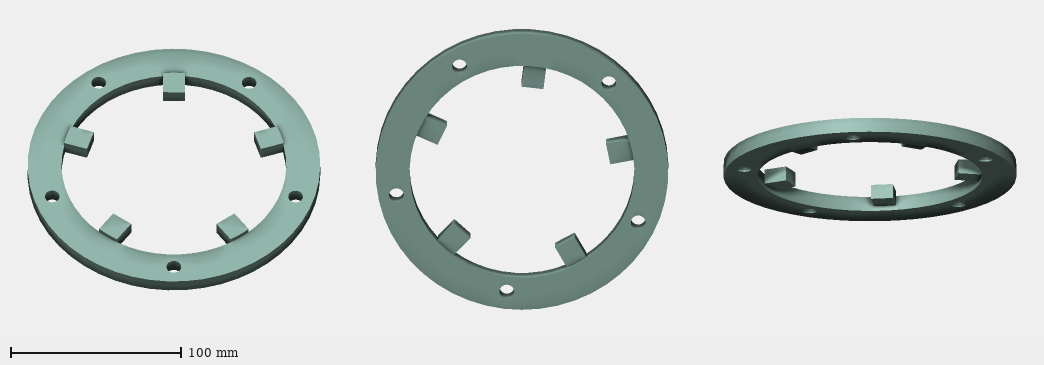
import cadquery as cq

outer_diameter = 172.0
bore_radius = 66.0
ring_thickness = 8.6

hole_diameter = 8.6
hole_circle_radius = 75.2

repeat_count = 5
tab_width = 13.0
tab_tip_radius = 51.6
tab_height = 8.6
tab_bottom = 3.0

angle_step = 360 / repeat_count


def make_ring():
    ring = cq.Workplane("XY").circle(outer_diameter / 2).circle(bore_radius).extrude(ring_thickness)
    holes = (
        cq.Workplane("XY")
        .polarArray(hole_circle_radius, 90, 360, repeat_count)
        .circle(hole_diameter / 2)
        .extrude(ring_thickness)
    )
    return ring.cut(holes)


def make_tab(angle):
    """Block with a flat tip and a root rounded to the bore, turned about Z from the -Y direction."""
    block = (
        cq.Workplane("XY", origin=(0, -(tab_tip_radius + bore_radius) / 2, tab_bottom))
        .rect(tab_width, bore_radius - tab_tip_radius)
        .extrude(tab_height)
    )
    bore = cq.Workplane("XY", origin=(0, 0, tab_bottom)).circle(bore_radius).extrude(tab_height)
    return block.intersect(bore).rotate((0, 0, 0), (0, 0, 1), angle)


result = make_ring()
for index in range(repeat_count):
    result = result.union(make_tab(index * angle_step))